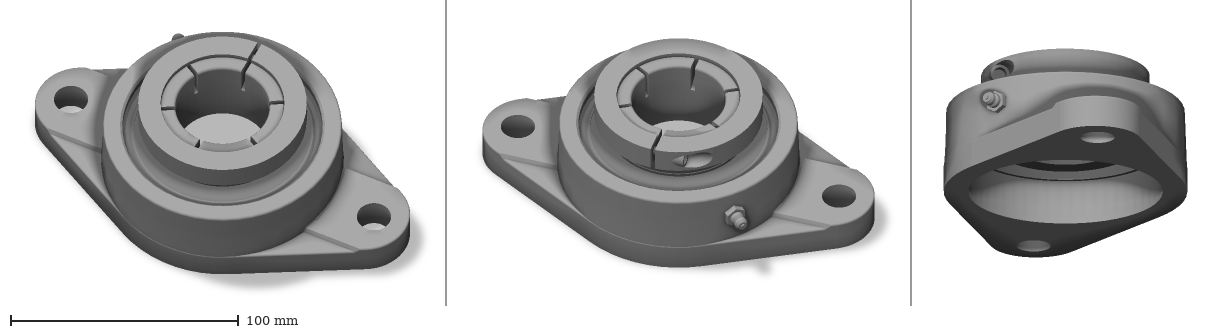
import cadquery as cq
import math

overall_length = 179.0
flange_radius = 53.5
ear_radius = 20.2
ear_center_x = overall_length / 2 - ear_radius
flange_height = 12.5
pad_height = 14.3
pad_half_width = 18.8
pad_step_run = 1.3
flange_edge_fillet = 0.9
bolt_hole_diameter = 15.0
bolt_hole_x = 74.1

housing_top = 38.0
housing_base_radius = 53.3
housing_top_radius = 52.5
housing_edge_fillet = 1.0
housing_foot_fillet = 0.9
selection_margin = 0.2
counterbore_radius = 88.0 / 2
counterbore_mouth_radius = 90.0 / 2
counterbore_floor_drop = 1.3

bearing_mid_z = 26.1
outer_ring_radius = 42.8
outer_ring_top = 32.5
outer_ring_bore_radius = 41.0
bearing_bottom = 2 * bearing_mid_z - outer_ring_top
inner_ring_radius = 60.0 / 2
inner_ring_seat_radius = 27.2
inner_ring_top = 52.0
inner_ring_edge_chamfer = 0.5
shaft_bore_radius = 41.3 / 2
shaft_bore_fillet = 1.3
ring_slot_count = 6
ring_slot_bottom = 38.7
seal_lip_height = 0.9
seal_lip_chamfer = 1.0
seal_thickness = 2.1
flinger_radius = 78.0 / 2
flinger_rim_top = 33.0
flinger_cone_top = 33.3
flinger_thickness = 0.9
flinger_hub_radius = 61.0 / 2
flinger_hub_top = 34.5

collar_radius = 37.0
collar_bottom = 42.6
collar_top = 53.7
slot_width = 2.0
screw_y = 31.9
screw_z = (collar_bottom + collar_top) / 2
screw_diameter = 4.1
screw_head_diameter = 8.5
screw_socket_diameter = 5.7
screw_socket_depth = 2.7
screw_head_x = -13.6
screw_seat_x = -6.3
screw_tip_x = 12.5

nipple_angle = 135
nipple_z = bearing_mid_z
nipple_root = 48.3
nipple_thread_diameter = 5.7
nipple_hex_start = 51.2
nipple_hex_end = 55.5
nipple_hex_flats = 8.5
nipple_collar_end = 57.1
nipple_collar_diameter = 6.0
nipple_neck_diameter = 4.1
nipple_neck_end = 58.4
nipple_head_diameter = 5.7
nipple_head_start = 59.0
nipple_head_end = 60.5
nipple_face = 61.8
nipple_face_diameter = 4.1
nipple_tip = 62.5
nipple_tip_diameter = 2.0


def turned(profile):
    """Solid of revolution around the Z axis from (radius, z) points."""
    return (
        cq.Workplane("XZ")
        .polyline(profile)
        .close()
        .revolve(360, (0, 0, 0), (0, 1, 0))
    )


def tube(outer_radius, inner_radius, bottom, top):
    """Plain ring around the Z axis."""
    return (
        cq.Workplane("XY", origin=(0, 0, bottom))
        .circle(outer_radius)
        .circle(inner_radius)
        .extrude(top - bottom)
    )


def x_cylinder(diameter, x_start, x_end):
    """Cylinder along X on the axis of the clamp screw."""
    return (
        cq.Workplane("YZ", origin=(x_start, screw_y, screw_z))
        .circle(diameter / 2)
        .extrude(x_end - x_start)
    )


def flange_plate(height):
    """Round flange with two rounded ears joined to it by tangent straight sides."""
    cos_tangent = (flange_radius - ear_radius) / ear_center_x
    sin_tangent = math.sqrt(1 - cos_tangent**2)
    disc_x = flange_radius * cos_tangent
    disc_y = flange_radius * sin_tangent
    ear_x = ear_center_x + ear_radius * cos_tangent
    ear_y = ear_radius * sin_tangent
    half_length = overall_length / 2
    return (
        cq.Workplane("XY")
        .moveTo(-disc_x, disc_y)
        .threePointArc((0, flange_radius), (disc_x, disc_y))
        .lineTo(ear_x, ear_y)
        .threePointArc((half_length, 0), (ear_x, -ear_y))
        .lineTo(disc_x, -disc_y)
        .threePointArc((0, -flange_radius), (-disc_x, -disc_y))
        .lineTo(-ear_x, -ear_y)
        .threePointArc((-half_length, 0), (-ear_x, ear_y))
        .close()
        .extrude(height)
    )


def flange():
    """Flange with a raised strip across both ears and a rounded upper rim."""
    foot = pad_half_width + pad_step_run
    cross_section = (
        cq.Workplane("YZ", origin=(-overall_length / 2, 0, 0))
        .polyline([
            (-flange_radius, 0),
            (-flange_radius, flange_height),
            (-foot, flange_height),
            (-pad_half_width, pad_height),
            (pad_half_width, pad_height),
            (foot, flange_height),
            (flange_radius, flange_height),
            (flange_radius, 0),
        ])
        .close()
        .extrude(overall_length)
    )
    plate = flange_plate(pad_height).intersect(cross_section)
    return plate.edges("not(|X or |Z or <Z)").fillet(flange_edge_fillet)


def nipple_axis_plane(distance):
    """Plane across the nipple axis at a distance from the Z axis."""
    angle = math.radians(nipple_angle)
    direction = (math.cos(angle), math.sin(angle), 0)
    origin = (distance * direction[0], distance * direction[1], nipple_z)
    return cq.Plane(origin=origin, xDir=(0, 0, 1), normal=direction)


def make_nipple():
    hexagon_corners = nipple_hex_flats / math.cos(math.pi / 6)
    profile_plane = cq.Plane(
        origin=(0, 0, nipple_z),
        xDir=nipple_axis_plane(0).zDir.toTuple(),
        normal=(0, 0, 1),
    )
    stem = (
        cq.Workplane(profile_plane)
        .polyline([
            (nipple_root, 0),
            (nipple_root, nipple_thread_diameter / 2),
            (nipple_hex_end, nipple_thread_diameter / 2),
            (nipple_hex_end, nipple_collar_diameter / 2),
            (nipple_collar_end, nipple_collar_diameter / 2),
            (nipple_neck_end, nipple_neck_diameter / 2),
            (nipple_head_start, nipple_head_diameter / 2),
            (nipple_head_end, nipple_head_diameter / 2),
            (nipple_face, nipple_face_diameter / 2),
            (nipple_face, nipple_tip_diameter / 2),
            (nipple_tip, nipple_tip_diameter / 2),
            (nipple_tip, 0),
        ])
        .close()
        .revolve(360, (0, 0, 0), (1, 0, 0))
    )
    hexagon = (
        cq.Workplane(nipple_axis_plane(nipple_hex_start))
        .polygon(6, hexagon_corners)
        .extrude(nipple_hex_end - nipple_hex_start)
    )
    return stem.union(hexagon)


def make_housing(nipple):
    drum = turned([
        (0, 0),
        (housing_base_radius, 0),
        (housing_base_radius, flange_height),
        (housing_top_radius, housing_top),
        (0, housing_top),
    ])
    drum = drum.faces(">Z").edges().fillet(housing_edge_fillet)
    mouth_chamfer = counterbore_mouth_radius - counterbore_radius
    bore = turned([
        (0, 0),
        (outer_ring_radius, 0),
        (outer_ring_radius, outer_ring_top),
        (counterbore_radius, outer_ring_top + counterbore_floor_drop),
        (counterbore_radius, housing_top - mouth_chamfer),
        (counterbore_mouth_radius, housing_top),
        (0, housing_top),
    ])
    bolt_holes = (
        cq.Workplane("XY")
        .pushPoints([(-bolt_hole_x, 0), (bolt_hole_x, 0)])
        .circle(bolt_hole_diameter / 2)
        .extrude(pad_height)
    )
    body = flange().union(drum)
    foot_edges = cq.selectors.BoxSelector(
        (-flange_radius, -flange_radius, flange_height + selection_margin),
        (flange_radius, flange_radius, pad_height + selection_margin),
    )
    body = body.edges(foot_edges).fillet(housing_foot_fillet)
    return body.cut(bore).cut(bolt_holes).cut(nipple)


def make_outer_ring():
    return tube(outer_ring_radius, outer_ring_bore_radius, bearing_bottom, outer_ring_top)


def make_inner_ring():
    ring = turned([
        (shaft_bore_radius, bearing_bottom),
        (inner_ring_radius, bearing_bottom),
        (inner_ring_radius, collar_bottom),
        (inner_ring_seat_radius, collar_bottom),
        (inner_ring_seat_radius, inner_ring_top - inner_ring_edge_chamfer),
        (inner_ring_seat_radius - inner_ring_edge_chamfer, inner_ring_top),
        (shaft_bore_radius, inner_ring_top),
    ])
    ring = ring.faces(">Z").edges(cq.selectors.RadiusNthSelector(0)).fillet(shaft_bore_fillet)
    slot = (
        cq.Workplane("XZ", origin=(0, slot_width / 2, 0))
        .polyline([
            (0, ring_slot_bottom),
            (shaft_bore_radius, ring_slot_bottom),
            (inner_ring_seat_radius, collar_bottom),
            (inner_ring_seat_radius, inner_ring_top),
            (0, inner_ring_top),
        ])
        .close()
        .extrude(slot_width)
    )
    for i in range(ring_slot_count):
        angle = 90 + i * 360 / ring_slot_count
        ring = ring.cut(slot.rotate((0, 0, 0), (0, 0, 1), angle))
    return ring


def make_flinger():
    """Slightly conical disc with a short hub around the inner ring."""
    return turned([
        (inner_ring_radius, flinger_rim_top - flinger_thickness),
        (flinger_radius, flinger_rim_top - flinger_thickness),
        (flinger_radius, flinger_rim_top),
        (flinger_hub_radius, flinger_cone_top),
        (flinger_hub_radius, flinger_hub_top),
        (inner_ring_radius, flinger_hub_top),
    ])


def make_seal():
    """Seal between the rings, with a raised bevelled lip around the flinger."""
    flinger_bottom = flinger_rim_top - flinger_thickness
    lip_top = outer_ring_top + seal_lip_height
    return turned([
        (inner_ring_radius, flinger_bottom - seal_thickness),
        (outer_ring_bore_radius, flinger_bottom - seal_thickness),
        (outer_ring_bore_radius, outer_ring_top),
        (outer_ring_bore_radius - seal_lip_chamfer, lip_top),
        (flinger_radius, lip_top),
        (flinger_radius, flinger_bottom),
        (inner_ring_radius, flinger_bottom),
    ])


def make_screw():
    head = x_cylinder(screw_head_diameter, screw_head_x, screw_seat_x)
    socket = x_cylinder(screw_socket_diameter, screw_head_x, screw_head_x + screw_socket_depth)
    shank = x_cylinder(screw_diameter, screw_seat_x, screw_tip_x)
    return head.cut(socket).union(shank)


def make_collar():
    slot = (
        cq.Workplane("XY", origin=(0, collar_radius / 2, collar_bottom))
        .rect(slot_width, collar_radius)
        .extrude(collar_top - collar_bottom)
    )
    return (
        tube(collar_radius, inner_ring_seat_radius, collar_bottom, collar_top)
        .cut(slot)
        .cut(x_cylinder(screw_head_diameter, -collar_radius, screw_seat_x))
        .cut(x_cylinder(screw_diameter, screw_seat_x, screw_tip_x))
    )


nipple = make_nipple()
housing = make_housing(nipple)
outer_ring = make_outer_ring()
inner_ring = make_inner_ring()
seal = make_seal()
flinger = make_flinger()
screw = make_screw()
collar = make_collar()

bodies = [housing, outer_ring, inner_ring, seal, flinger, collar, screw, nipple]
result = cq.Compound.makeCompound([body.val() for body in bodies])